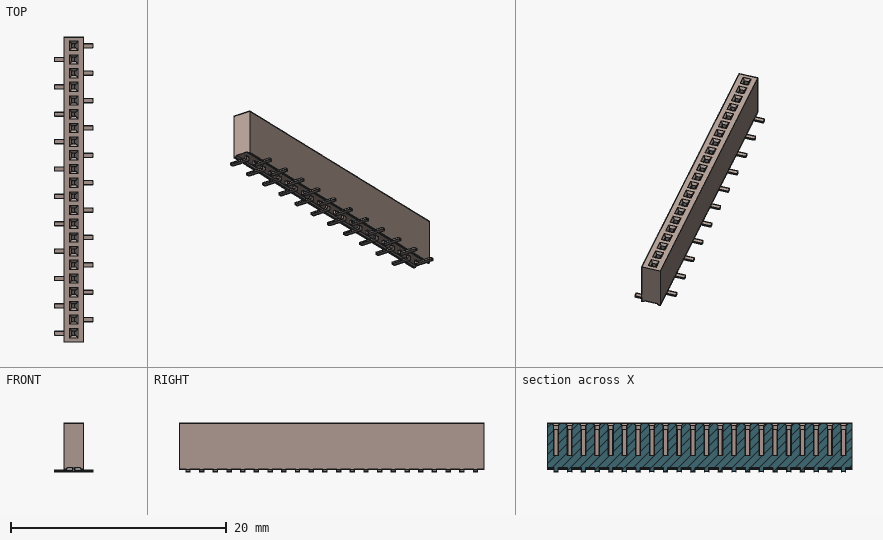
import cadquery as cq

contact_count = 22
pitch = 1.27
extra_length = 0.35
housing_length = contact_count * pitch + extra_length
housing_width = 1.83
total_height = 4.53
housing_bottom = 0.235

channel_ceiling = 0.37
channel_mouth_width = 1.45
channel_ceiling_width = 1.2

mouth_width = 0.78
mouth_length = 0.86
throat_width = 0.42
throat_length = 0.42
funnel_depth = 0.2
socket_depth = 3.0

tail_span = 3.575
foot_thickness = 0.16
foot_width = 0.41
tip_corner_radius = 0.08
heel_radius = 0.14
stem_thickness = 0.2
leaf_gap = 0.1
leaf_length = 0.36
leaf_recess = 0.6


def make_housing():
    height = total_height - housing_bottom
    block = cq.Workplane("XY").box(housing_width, housing_length, height, centered=(True, True, False))
    return block.translate((0, 0, housing_bottom))


def make_channel():
    half_mouth = channel_mouth_width / 2
    half_ceiling = channel_ceiling_width / 2
    profile = [
        (-half_mouth, housing_bottom),
        (-half_ceiling, channel_ceiling),
        (half_ceiling, channel_ceiling),
        (half_mouth, housing_bottom),
    ]
    return cq.Workplane("XZ").polyline(profile).close().extrude(housing_length / 2, both=True)


def make_socket():
    funnel = (
        cq.Workplane("XY", origin=(0, 0, total_height))
        .rect(mouth_width, mouth_length)
        .workplane(offset=-funnel_depth)
        .rect(throat_width, throat_length)
        .loft(combine=True)
    )
    well = (
        cq.Workplane("XY", origin=(0, 0, total_height - funnel_depth))
        .rect(throat_width, throat_length)
        .extrude(funnel_depth - socket_depth)
    )
    return funnel.union(well)


def make_leaves():
    leaf_width = (throat_width - leaf_gap) / 2
    leaf_offset = (throat_width + leaf_gap) / 4
    socket_floor = total_height - socket_depth
    return (
        cq.Workplane("XY", origin=(0, 0, socket_floor))
        .pushPoints([(-leaf_offset, 0), (leaf_offset, 0)])
        .rect(leaf_width, leaf_length)
        .extrude(socket_depth - leaf_recess)
    )


def make_tail(side):
    """Foot running from the far face of its stem out to side (+1 or -1) of X; the stem meets the ceiling."""
    foot_length = (tail_span + stem_thickness) / 2
    foot_center = side * (tail_span / 2 - foot_length / 2)
    foot = cq.Workplane("XY").box(foot_length, foot_width, foot_thickness, centered=(True, True, False))
    foot = foot.translate((foot_center, 0, 0))
    stem = cq.Workplane("XY").box(stem_thickness, foot_width, channel_ceiling, centered=(True, True, False))
    heel_selector = "<X" if side > 0 else ">X"
    tip_selector = ">X" if side > 0 else "<X"
    tail = foot.union(stem)
    tail = tail.faces(tip_selector).edges("|Z").fillet(tip_corner_radius)
    return tail.faces(heel_selector).edges("<Z").fillet(heel_radius)


def at_contact(shape, index):
    y = (index - (contact_count - 1) / 2) * pitch
    return shape.translate((0, y, 0)).val()


socket = make_socket()
leaves = make_leaves()
tails = {side: make_tail(side) for side in (-1, 1)}

contacts = range(contact_count)
sockets = [at_contact(socket, i) for i in contacts]
housing = make_housing().cut(make_channel())
housing = cq.Workplane(housing.val().cut(*sockets))

metal = []
for i in contacts:
    side = -1 if i % 2 == 0 else 1
    metal.append(at_contact(tails[side], i))
    metal.extend(at_contact(leaves, i).Solids())

connector = housing.val().fuse(*metal)
result = cq.Workplane(connector.Solids()[0])